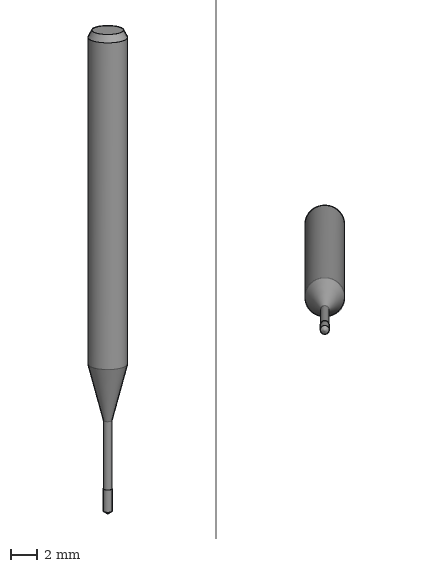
import cadquery as cq

total_height = 38.15

shank_radius = 1.505
shank_bottom = 11.82
chamfer_width = 0.3
chamfer_height = 0.57

neck_radius = 0.325
neck_top = 7.35

tip_radius = 0.35
tip_top = 2.0
point_height = 0.23


def revolve_profile(points):
    """Turn a closed (radius, height) outline around the Z axis."""
    return cq.Workplane("XZ").polyline(points).close().revolve(360, (0, 0, 0), (0, 1, 0))


def make_holder():
    """Chamfered shank, tapering to a slender neck."""
    return revolve_profile([
        (0, tip_top),
        (neck_radius, tip_top),
        (neck_radius, neck_top),
        (shank_radius, shank_bottom),
        (shank_radius, total_height - chamfer_height),
        (shank_radius - chamfer_width, total_height),
        (0, total_height),
    ])


def make_cutting_tip():
    """Short cylinder with a conical point, flush against the neck's end."""
    return revolve_profile([
        (0, 0),
        (tip_radius, point_height),
        (tip_radius, tip_top),
        (0, tip_top),
    ])


holder = make_holder()
cutting_tip = make_cutting_tip()

result = cq.Compound.makeCompound([holder.val(), cutting_tip.val()])